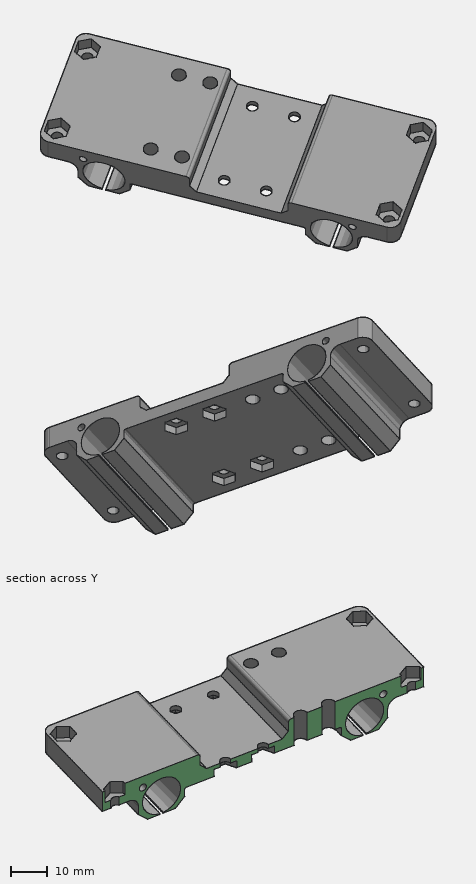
import cadquery as cq

LENGTH = 103.0
DEPTH = 38.0
HEIGHT = 16.0

FLANGE_THICKNESS = 7.0
POCKET_DEPTH = 6.0
WEB_BOTTOM_DEPTH = 10.0

CORNER_RADIUS = 3.0
POCKET_START = 43.5
POCKET_WIDTH = 28.1
POCKET_CHAMFER = 2.0
POCKET_EDGE_RADIUS = 1.0

CLAMP_OFFSET = 19.0
CLAMP_WIDTH = 14.9
CLAMP_CHAMFER = 3.0
CLAMP_OUTER_RADIUS = 3.0
CLAMP_INNER_RADIUS = 0.5
BORE_DIAMETER = 12.0
BORE_DEPTH = 9.5
SLIT_WIDTH = 1.0
PIN_OFFSET = 13.0
PIN_DEPTH = 4.0
PIN_DIAMETER = 2.2

NUT_END_OFFSET = 4.0
NUT_SIDE_OFFSET = 5.0
NUT_SIDES = 6
NUT_CORNER_DIAMETER = 7.2
NUT_DEPTH = 4.0
SCREW_DIAMETER = 3.2
NUT_CORNER_ON_X = 0
NUT_CORNER_ON_Y = 90

ROW_SIDE_OFFSET = 6.0
LARGE_HOLE_DIAMETER = 4.0
LARGE_HOLE_START = 30.5
LARGE_HOLE_SPACING = 9.0
SMALL_HOLE_DIAMETER = 3.2
SMALL_HOLE_SPACING = 12.0
SMALL_HOLE_LIP = 1.5

LEFT_END = -LENGTH / 2
POCKET_CENTRE = LEFT_END + POCKET_START + POCKET_WIDTH / 2
CLAMP_X = LENGTH / 2 - CLAMP_OFFSET
CLAMP_OUTER = CLAMP_X + CLAMP_WIDTH / 2
CLAMP_INNER = CLAMP_X - CLAMP_WIDTH / 2
PIN_X = LENGTH / 2 - PIN_OFFSET
SIDES = (-1, 1)


def top_box(length, height, x=0.0, top=0.0):
    """Box over the full depth, centred on x, hanging down from the level top."""
    box = cq.Workplane("XY").box(length, DEPTH, height, centered=(True, True, False))
    return box.translate((x, 0, top - height))


def cross_cylinder(x, z, diameter):
    """Cylinder along Y through the full depth."""
    return cq.Workplane("XZ", origin=(x, 0, z)).circle(diameter / 2).extrude(DEPTH / 2, both=True)


def edge_at(x, z):
    """Selector for the full-depth edge at x and z."""
    return cq.selectors.NearestToPointSelector((x, 0, z))


def plate_with_clamps():
    """End flanges, central web and the two clamp blocks, with their outer edges finished."""
    plate = top_box(LENGTH, FLANGE_THICKNESS).edges("|Z").fillet(CORNER_RADIUS)
    plate = plate.union(top_box(2 * CLAMP_X, WEB_BOTTOM_DEPTH))
    for side in SIDES:
        block = top_box(CLAMP_WIDTH, HEIGHT, side * CLAMP_X)
        block = block.edges("|Y and <Z").chamfer(CLAMP_CHAMFER)
        plate = plate.union(block)
    for side in SIDES:
        outer_corner = edge_at(side * CLAMP_OUTER, -FLANGE_THICKNESS)
        plate = plate.edges(outer_corner).fillet(CLAMP_OUTER_RADIUS)
        inner_corner = edge_at(side * CLAMP_INNER, -WEB_BOTTOM_DEPTH)
        plate = plate.edges(inner_corner).fillet(CLAMP_INNER_RADIUS)
    return plate


def cut_pocket(body):
    """Cross pocket with chamfered floor corners and rounded top edges."""
    pocket = top_box(POCKET_WIDTH, POCKET_DEPTH, POCKET_CENTRE)
    pocket = pocket.edges("|Y and <Z").chamfer(POCKET_CHAMFER)
    body = body.cut(pocket)
    for side in SIDES:
        rim = edge_at(POCKET_CENTRE + side * POCKET_WIDTH / 2, 0)
        body = body.edges(rim).fillet(POCKET_EDGE_RADIUS)
    return body


def cut_clamps(body):
    """Rod bores, the slits that open them downward, and the small pin holes."""
    slit_height = HEIGHT - BORE_DEPTH
    for side in SIDES:
        body = body.cut(cross_cylinder(side * CLAMP_X, -BORE_DEPTH, BORE_DIAMETER))
        body = body.cut(top_box(SLIT_WIDTH, slit_height, side * CLAMP_X, -BORE_DEPTH))
        body = body.cut(cross_cylinder(side * PIN_X, -PIN_DEPTH, PIN_DIAMETER))
    return body


def cut_vertical_holes(body, points, diameter):
    """Round holes from the top face through everything below."""
    holes = cq.Workplane("XY").pushPoints(points).circle(diameter / 2).extrude(-HEIGHT)
    return body.cut(holes)


def cut_nut_pockets(body, points, top, depth, corner_angle):
    """Hexagonal pockets from the level top downward, with a corner at the given angle from X."""
    nut = cq.Workplane("XY", origin=(0, 0, top)).polygon(NUT_SIDES, NUT_CORNER_DIAMETER).extrude(-depth)
    nut = nut.rotate((0, 0, 0), (0, 0, 1), corner_angle)
    for x, y in points:
        body = body.cut(nut.translate((x, y, 0)))
    return body


def cut_corner_screws(body):
    """Through holes at the corners, each with a nut pocket pointing along Y."""
    x = LENGTH / 2 - NUT_END_OFFSET
    y = DEPTH / 2 - NUT_SIDE_OFFSET
    points = [(i * x, j * y) for i in SIDES for j in SIDES]
    body = cut_nut_pockets(body, points, 0, NUT_DEPTH, NUT_CORNER_ON_Y)
    return cut_vertical_holes(body, points, SCREW_DIAMETER)


def cut_mounting_holes(body):
    """Large holes beside the pocket, and small holes in its floor with nut pockets underneath."""
    y = DEPTH / 2 - ROW_SIDE_OFFSET
    large_x = LEFT_END + LARGE_HOLE_START
    large = [(x, j * y) for x in (large_x, large_x + LARGE_HOLE_SPACING) for j in SIDES]
    small = [(POCKET_CENTRE + i * SMALL_HOLE_SPACING / 2, j * y) for i in SIDES for j in SIDES]
    lip_bottom = -POCKET_DEPTH - SMALL_HOLE_LIP
    body = cut_nut_pockets(body, small, lip_bottom, HEIGHT + lip_bottom, NUT_CORNER_ON_X)
    body = cut_vertical_holes(body, large, LARGE_HOLE_DIAMETER)
    return cut_vertical_holes(body, small, SMALL_HOLE_DIAMETER)


result = plate_with_clamps()
result = cut_pocket(result)
result = cut_clamps(result)
result = cut_corner_screws(result)
result = cut_mounting_holes(result)